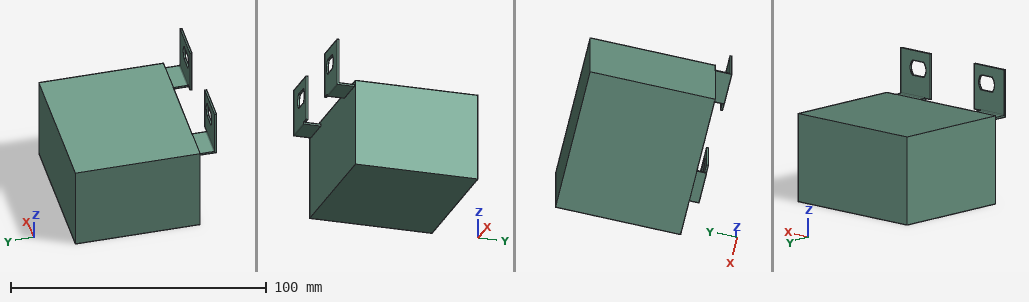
import cadquery as cq

overall_depth = 57.3
overall_height = 52.5

case_width = 58.7
case_depth = 50.25
case_height = 35.4
case_front = -case_depth / 2

sheet_thickness = 0.8
inner_bend_radius = 0.3
outer_bend_radius = 0.2
terminal_side_inset = 1.5
leg_width = 12.9
leg_drop = 2.0
leg_bottom = case_height - leg_drop
leg_top = leg_bottom + sheet_thickness
tab_width = 16.0
tab_height = overall_height - leg_top
tab_front = case_front - (overall_depth - case_depth)
tab_back = tab_front + sheet_thickness
outer_edge = -case_width / 2 + terminal_side_inset

hole_diameter = 8.5
hole_flat_height = 6.0
hole_edge_distance = 9.4
hole_top_distance = 7.0
hole_x = outer_edge + hole_edge_distance
hole_z = overall_height - hole_top_distance


def make_case():
    return cq.Workplane("XY").box(case_width, case_depth, case_height, centered=(True, True, False))


def make_hole_cutter():
    """Cylinder through the tab, trimmed to the height between the flats."""
    hole_plane = cq.Workplane("XZ", origin=(hole_x, tab_back, hole_z))
    cylinder = hole_plane.circle(hole_diameter / 2).extrude(sheet_thickness)
    between_flats = hole_plane.rect(hole_diameter, hole_flat_height).extrude(sheet_thickness)
    return cylinder.intersect(between_flats)


def make_left_terminal():
    """L-shaped sheet whose upright tab is wider than its leg."""
    bent_sheet = (
        cq.Workplane("YZ", origin=(outer_edge, 0, 0))
        .moveTo(case_front, leg_bottom)
        .lineTo(tab_front + outer_bend_radius, leg_bottom)
        .radiusArc((tab_front, leg_bottom + outer_bend_radius), outer_bend_radius)
        .lineTo(tab_front, overall_height)
        .lineTo(tab_back, overall_height)
        .lineTo(tab_back, leg_top + inner_bend_radius)
        .radiusArc((tab_back + inner_bend_radius, leg_top), -inner_bend_radius)
        .lineTo(case_front, leg_top)
        .close()
        .extrude(leg_width)
    )
    full_width_tab = cq.Workplane("XY", origin=(outer_edge, tab_front, leg_top)).box(
        tab_width, sheet_thickness, tab_height, centered=False
    )
    return bent_sheet.union(full_width_tab).cut(make_hole_cutter())


case = make_case()
left_terminal = make_left_terminal()
right_terminal = left_terminal.mirror("YZ")

result = cq.Compound.makeCompound(
    [case.val(), *left_terminal.solids().vals(), *right_terminal.solids().vals()]
)